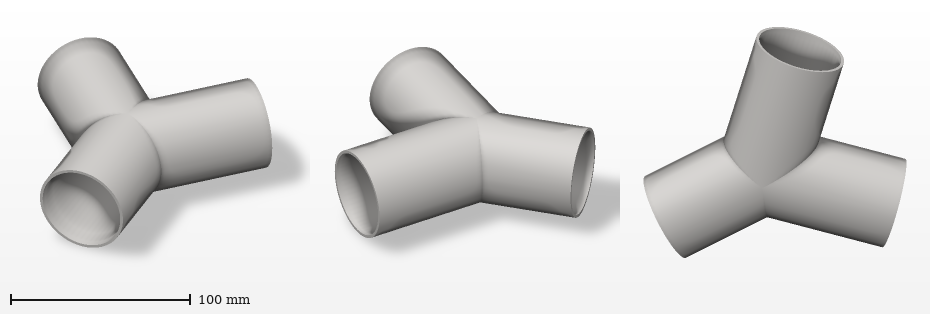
import cadquery as cq
import math

overall_width = 143.7
overall_depth = 133.2
outer_diameter = 50.9
bore_diameter = 47.5
branch_angle = 45.0

outer_radius = outer_diameter / 2
tilt = math.radians(branch_angle)
branch_length = (overall_width / 2 - outer_radius * math.cos(tilt)) / math.sin(tilt)

branch_reach = branch_length * math.cos(tilt) + outer_radius * math.sin(tilt)
stem_length = overall_depth - branch_reach


def rod(diameter, length, angle):
    """Cylinder from the origin, its axis turned from +Y toward +X by angle degrees."""
    turn = math.radians(angle)
    direction = cq.Vector(math.sin(turn), math.cos(turn), 0)
    return cq.Workplane(cq.Solid.makeCylinder(diameter / 2, length, cq.Vector(0, 0, 0), direction))


def wye(diameter):
    """Stem and two branches of one diameter, joined into a solid Y."""
    stem = rod(diameter, stem_length, 180)
    left_branch = rod(diameter, branch_length, -branch_angle)
    right_branch = rod(diameter, branch_length, branch_angle)
    return stem.union(left_branch).union(right_branch)


result = wye(outer_diameter).cut(wye(bore_diameter))